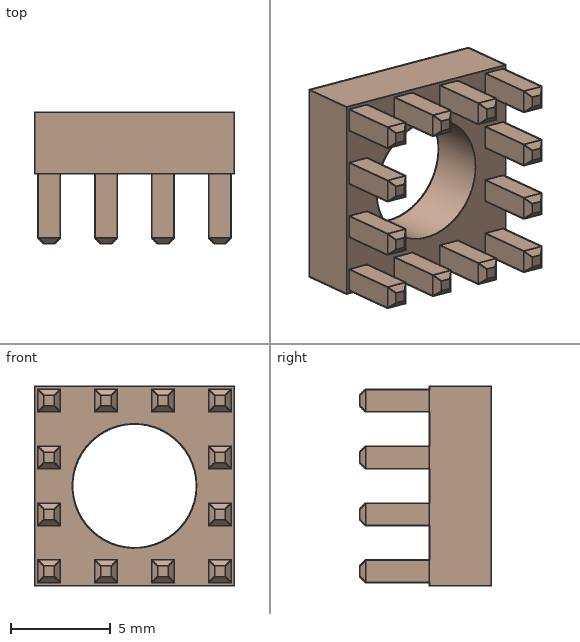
import cadquery as cq

body_side = 10.0
body_depth = 3.1
bore_diameter = 6.2

total_depth = 6.6
pin_length = total_depth - body_depth
pin_width = 1.13
pin_pitch = 2.85
pins_per_side = 4
tip_chamfer = 0.3


def make_body():
    """Square block with a bore right through it; the pin face lies on Y = 0."""
    outline = cq.Workplane("XZ").rect(body_side, body_side).circle(bore_diameter / 2)
    return outline.extrude(-body_depth)


def make_pin():
    """Square pin reaching from Y = 0 toward -Y, chamfered all around its free end."""
    pin = cq.Workplane("XZ").rect(pin_width, pin_width).extrude(pin_length)
    return pin.faces("<Y").chamfer(tip_chamfer)


def pin_places():
    """X and Z of each pin: the outer ring of a square grid."""
    last = pins_per_side - 1
    places = []
    for column in range(pins_per_side):
        for row in range(pins_per_side):
            if column in (0, last) or row in (0, last):
                x = (column - last / 2) * pin_pitch
                z = (row - last / 2) * pin_pitch
                places.append((x, z))
    return places


result = make_body()
pin = make_pin()
for x, z in pin_places():
    result = result.union(pin.translate((x, 0, z)))